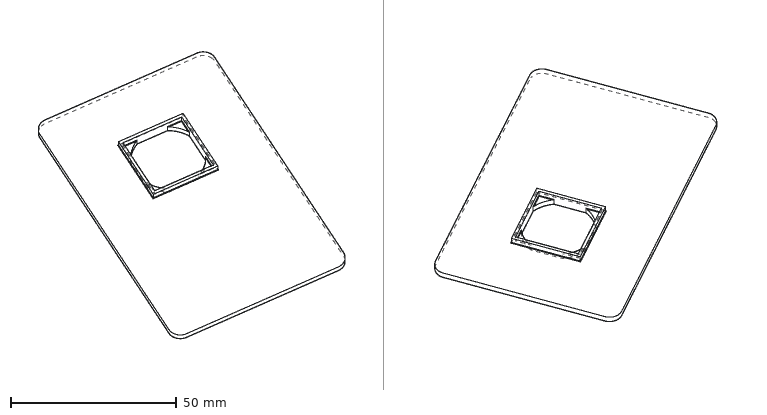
import cadquery as cq

plate_length = 90.0
plate_width = 60.0
plate_thickness = 2.0
plate_corner_radius = 4.0

frame_center_x = -15.0
frame_inner_side = 20.2
frame_wall = 1.0
frame_height = 2.0
frame_outer_side = frame_inner_side + 2 * frame_wall
foot_size = 0.2

hole_radius = 11.3

total_height = plate_thickness + frame_height


def square_block(side, bottom, height):
    """Square block on the frame axis."""
    return (
        cq.Workplane("XY", origin=(frame_center_x, 0, bottom))
        .rect(side, side)
        .extrude(height)
    )


def foot_taper(bottom_side, top_side):
    """Square frustum as tall as the foot, resting on the plate."""
    return (
        cq.Workplane("XY", origin=(frame_center_x, 0, plate_thickness))
        .rect(bottom_side, bottom_side)
        .workplane(offset=foot_size)
        .rect(top_side, top_side)
        .loft(ruled=True)
    )


def make_plate():
    return (
        cq.Workplane("XY")
        .rect(plate_length, plate_width)
        .extrude(plate_thickness)
        .edges("|Z")
        .fillet(plate_corner_radius)
    )


def make_frame():
    """Frame walls with a sloped foot inside and outside."""
    walls = square_block(frame_outer_side, plate_thickness, frame_height).cut(
        square_block(frame_inner_side, plate_thickness, frame_height)
    )
    outer_foot = foot_taper(frame_outer_side + 2 * foot_size, frame_outer_side)
    inner_opening = foot_taper(frame_inner_side - 2 * foot_size, frame_inner_side)
    return walls.union(outer_foot.cut(inner_opening))


def make_opening():
    """Square opening with its corners rounded off by the larger hole."""
    hole = (
        cq.Workplane("XY", origin=(frame_center_x, 0, 0))
        .circle(hole_radius)
        .extrude(total_height)
    )
    return square_block(frame_inner_side, 0, total_height).intersect(hole)


result = make_plate().union(make_frame()).cut(make_opening())